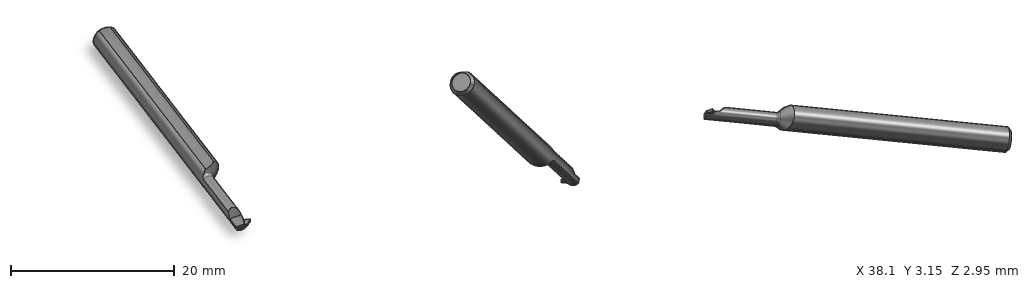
import cadquery as cq
import math

length = 38.1
shank_radius = 3.15 / 2
flat_depth = 0.2
flat_height = shank_radius - flat_depth
shank_chamfer = 0.4

neck_radius = 1.7 / 2
neck_y = -neck_radius
neck_start = 29.05
fillet_radius = 0.57
shoulder_length = 1.9

face_start = 36.45
tooth_back_x = 37.25
tooth_shoulder_y = 0.25
tooth_point_x = 37.6
tooth_point_y = 0.65
tooth_thickness = 0.45

groove_start_x = 36.7
groove_end_y = -0.45
groove_wall_depth = 0.2
groove_point_depth = 0.08
groove_wall_run = 0.1


def make_shank():
    """Chamfered bar with the clamping flat along its top."""
    bar = cq.Workplane("YZ").circle(shank_radius).extrude(length)
    bar = bar.faces("<X").chamfer(shank_chamfer)
    width = 2 * shank_radius
    below_flat = cq.Workplane("XY").box(length, width, width, centered=(False, True, False))
    return bar.intersect(below_flat.translate((0, 0, flat_height - width)))


def make_neck_envelope():
    """Turned shape about the neck axis: shoulder, 45 degree cone, fillet and neck."""
    cone_start = neck_start - shoulder_length
    profile = (
        cq.Workplane("XY")
        .moveTo(0, 0)
        .lineTo(0, neck_radius + shoulder_length)
        .lineTo(cone_start, neck_radius + shoulder_length)
        .lineTo(neck_start, neck_radius)
        .lineTo(length, neck_radius)
        .lineTo(length, 0)
        .close()
    )
    turned = profile.revolve(360, (0, 0, 0), (1, 0, 0))
    corner_margin = 0.05
    corner = cq.selectors.BoxSelector(
        (neck_start - corner_margin, -neck_radius - corner_margin, -neck_radius - corner_margin),
        (neck_start + corner_margin, neck_radius + corner_margin, neck_radius + corner_margin),
        boundingbox=True,
    )
    return turned.edges(corner).fillet(fillet_radius).translate((0, neck_y, 0))


def make_tip_relief():
    """Material removed above the cutting face, ahead of the ramp."""
    return (
        cq.Workplane("XZ")
        .moveTo(face_start, 0)
        .lineTo(length, 0)
        .lineTo(length, shank_radius)
        .lineTo(face_start - shank_radius, shank_radius)
        .close()
        .extrude(shank_radius, both=True)
    )


def make_tooth():
    """Pointed tooth standing out from the back of the neck, below the cutting face."""
    return (
        cq.Workplane("XY")
        .moveTo(tooth_back_x, neck_y)
        .lineTo(tooth_back_x, tooth_shoulder_y)
        .lineTo(tooth_point_x, tooth_point_y)
        .lineTo(length, 0)
        .lineTo(length, neck_y)
        .close()
        .extrude(-tooth_thickness)
    )


def make_chip_groove():
    """Shallow tilted cut behind a slanted line, leaving a low wall along that line."""
    run = length - groove_start_x
    line_length = math.hypot(run, groove_end_y)
    across = (-groove_end_y / line_length, run / line_length)
    point_distance = (tooth_point_x - groove_start_x) * across[0] + tooth_point_y * across[1]
    section_plane = cq.Plane(
        origin=(groove_start_x, 0, 0),
        xDir=(across[0], across[1], 0),
        normal=(run, groove_end_y, 0),
    )
    return (
        cq.Workplane(section_plane)
        .moveTo(0, 0)
        .lineTo(groove_wall_run, -groove_wall_depth)
        .lineTo(point_distance, -groove_point_depth)
        .lineTo(point_distance, 0)
        .close()
        .extrude(2 * line_length)
    )


body = make_shank().intersect(make_neck_envelope()).cut(make_tip_relief())
result = body.union(make_tooth()).cut(make_chip_groove())